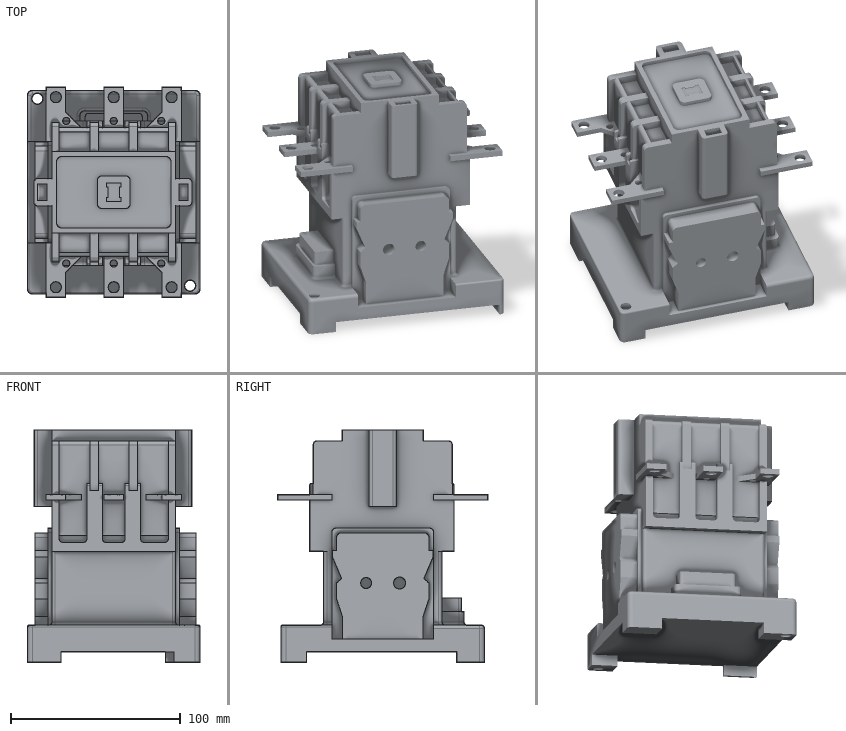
import cadquery as cq
BASE_X, BASE_Y, BASE_TOP = 101.8, 120.0, 22.0
BASE_CORNER_R = 3.0
BASE_FRONT_ROUND, BASE_BACK_ROUND = 1.0, 2.0
SEAT_HALF_Y, SEAT_Z = 30.0, 13.8
FOOT_H = 6.2
FEET_INNER_CORNERS = [(-31.0, -57.0), (-31.0, 43.5), (35.4, -44.8), (30.4, 43.5)]
MOUNT_HOLE_D = 6.4
MOUNT_HOLE_X, MOUNT_HOLE_Y = 45.0, 55.1

BODY_HALF_X, BODY_HALF_Y = 36.5, 35.0
BODY_CORNER_R = 2.0
BODY_FOOT_FILLET = 1.7
REAR_STEPS = [(20.0, 48.0, 30.0, 3.0), (16.8, 46.5, 38.0, 2.0)]

PLATE_OUTER_X, PLATE_TOP, PLATE_CORNER_R = 38.8, 79.2, 2.5
COVER_TOP, COVER_CORNER_R = 76.4, 2.8
COVER_LEFT_X, COVER_RIGHT_X = -46.5, 48.6
COVER_EDGE = [
    (27.2, COVER_TOP), (27.2, 66.0), (29.6, 66.0), (29.6, 62.0), (24.3, 49.5),
    (27.2, 46.8), (27.2, 37.4), (23.8, 27.1), (23.8, SEAT_Z),
]
COVER_HOLES = [(9.9, 7.0), (-9.8, 6.4)]
COVER_HOLE_Z = 46.8

HOUSING_BOTTOM, SHOULDER_TOP, TOTAL_H = 65.5, 130.6, 137.0
UPPER_HALF_Y = 41.0
LOWER_FRONT_Y, LOWER_BACK_Y = 43.1, 42.0
CROWN_HALF_Y = 24.0
CHUTE_HALF_Y = 38.0
CHUTE_WALL = 2.5
CHUTE_FLOOR_Z = 125.8
SHOULDER_ROUND = 2.3
SIDE_WALL_X = 32.2
RIB_INNER_X, RIB_OUTER_X = 9.0, 14.1
RIB_BOTTOM = 101.2
POST_INNER_X, POST_OUTER_X = 6.7, 15.8
POST_TOP, POST_ROUND = 105.5, 1.2
POCKET_FLOOR, POCKET_CORNER_R = 70.7, 2.3
POCKET_UNDERCUT_TOP = 74.7

RECESS_X, RECESS_Y, RECESS_R, RECESS_DEPTH = 67.6, 42.3, 3.5, 2.5
BUTTON_SIZE, BUTTON_R = 19.4, 3.0
MARK_X, MARK_Y, MARK_WEB, MARK_BAR, MARK_DEPTH = 8.6, 10.8, 6.5, 2.3, 0.5

LUG_LEFT_X, LUG_RIGHT_X = -47.0, 46.0
LUG_HALF_Y, LUG_BOTTOM, LUG_R = 8.0, 91.8, 2.0
LUG_SLOT_X, LUG_SLOT_Y, LUG_SLOT_DEPTH = 5.4, 9.6, 10.0
LUG_SLOT_INSET = 2.2

TAB_END_Y, TAB_INNER_Y = 62.0, 30.0
TAB_BOTTOM, TAB_TOP = 95.7, 98.9
TAB_HALF_W = 5.8
TAB_PITCH = 34.1
TAB_ROOT_X = 18.9
TAB_BEND_Y = 47.2
BOLT_HOLE_D, BOLT_HOLE_Y = 6.5, 56.0
SCREW_HOLE_D, SCREW_HOLE_X, SCREW_HOLE_Y = 4.2, 28.0, 42.0


def block(x0, x1, y0, y1, z0, z1):
    """Box between two opposite corners."""
    return cq.Workplane("XY").box(x1 - x0, y1 - y0, z1 - z0, centered=False).translate((x0, y0, z0))


def cylinder(x, y, z0, z1, diameter):
    return cq.Workplane("XY").circle(diameter / 2).extrude(z1 - z0).translate((x, y, z0))


def base_end(side, top_round):
    """Raised end of the base; side is -1 for the front end and +1 for the back end."""
    inner, outer = sorted((side * SEAT_HALF_Y, side * BASE_Y / 2))
    end = block(-BASE_X / 2, BASE_X / 2, inner, outer, FOOT_H, BASE_TOP)
    outward = ">Y" if side > 0 else "<Y"
    inward = "<Y" if side > 0 else ">Y"
    end = end.faces(outward).edges("|Z").fillet(BASE_CORNER_R)
    rim = end.faces(">Z").edges("not " + inward)
    return rim.fillet(top_round)


def feet():
    """Four corner feet of unequal size, kept inside the rounded base outline."""
    outline = block(-BASE_X / 2, BASE_X / 2, -BASE_Y / 2, BASE_Y / 2, 0, FOOT_H)
    outline = outline.edges("|Z").fillet(BASE_CORNER_R)
    pads = cq.Workplane("XY")
    for x, y in FEET_INNER_CORNERS:
        x0, x1 = sorted((x, BASE_X / 2 if x > 0 else -BASE_X / 2))
        y0, y1 = sorted((y, BASE_Y / 2 if y > 0 else -BASE_Y / 2))
        pads = pads.add(block(x0, x1, y0, y1, 0, FOOT_H).intersect(outline))
    return pads.vals()


def base_and_body():
    seat = block(-BASE_X / 2, BASE_X / 2, -SEAT_HALF_Y, SEAT_HALF_Y, FOOT_H, SEAT_Z)
    body = block(-BODY_HALF_X, BODY_HALF_X, -BODY_HALF_Y, BODY_HALF_Y, FOOT_H, HOUSING_BOTTOM)
    body = body.edges("|Z").fillet(BODY_CORNER_R)
    part = base_end(-1, BASE_FRONT_ROUND).union(base_end(1, BASE_BACK_ROUND)).union(seat).union(body)
    for half_x, back_y, top, radius in REAR_STEPS:
        step = block(-half_x, half_x, 0, back_y, FOOT_H, top)
        part = part.union(step.faces(">Y").edges("|Z").fillet(radius))

    reach_x, reach_y = BODY_HALF_X + 1, REAR_STEPS[0][1] + 1
    foot_edges = cq.selectors.BoxSelector(
        (-reach_x, -reach_y, BASE_TOP - 0.1), (reach_x, reach_y, BASE_TOP + 0.1), boundingbox=True
    )
    part = part.edges(foot_edges).fillet(BODY_FOOT_FILLET)

    for foot in feet():
        part = part.union(cq.Workplane(foot))
    for side in (-1, 1):
        part = part.cut(cylinder(side * MOUNT_HOLE_X, -side * MOUNT_HOLE_Y, 0, BASE_TOP, MOUNT_HOLE_D))
    return part


def coil_side(side, cover_x):
    """Flange plate and profiled terminal cover on one X side of the coil body."""
    x0, x1 = sorted((side * (BODY_HALF_X - 1), side * PLATE_OUTER_X))
    plate = block(x0, x1, -SEAT_HALF_Y, SEAT_HALF_Y, SEAT_Z, PLATE_TOP)
    plate = plate.faces(">Z").edges("|X").fillet(PLATE_CORNER_R)

    outline = COVER_EDGE + [(-y, z) for y, z in reversed(COVER_EDGE)]
    start, stop = sorted((side * PLATE_OUTER_X, cover_x))
    cover = cq.Workplane("YZ").polyline(outline).close().extrude(stop - start).translate((start, 0, 0))
    cover = cover.faces(">Z").edges("|X").fillet(COVER_CORNER_R)
    for y, diameter in COVER_HOLES:
        hole = cq.Workplane("YZ").center(y, COVER_HOLE_Z).circle(diameter / 2).extrude(stop - start)
        cover = cover.cut(hole.translate((start, 0, 0)))
    return plate.union(cover)


def housing_end(lower_y):
    """Front half of the contact housing: lower wall with pockets, posts, chute wall and ribs."""
    half_x = BODY_HALF_X
    end = block(-half_x, half_x, -CHUTE_HALF_Y, 0, HOUSING_BOTTOM, SHOULDER_TOP)
    end = end.faces("<Y").edges(">Z").fillet(SHOULDER_ROUND)
    end = end.cut(block(-half_x, half_x, CHUTE_WALL - CHUTE_HALF_Y, -CROWN_HALF_Y, CHUTE_FLOOR_Z, SHOULDER_TOP))

    end = end.union(block(-half_x, half_x, -lower_y, -CHUTE_HALF_Y, HOUSING_BOTTOM, TAB_TOP))
    back_y = CHUTE_WALL - CHUTE_HALF_Y
    for x0, x1 in [
        (-SIDE_WALL_X, -POST_OUTER_X), (-POST_INNER_X, POST_INNER_X), (POST_OUTER_X, SIDE_WALL_X)
    ]:
        pocket = block(x0, x1, -lower_y, back_y, POCKET_FLOOR, TAB_TOP)
        pocket = pocket.faces("<Z").edges("|Y").fillet(POCKET_CORNER_R)
        chute_wall = block(x0, x1, -CHUTE_HALF_Y, back_y, POCKET_UNDERCUT_TOP, TAB_TOP)
        end = end.cut(pocket.cut(chute_wall))

    for side in (-1, 1):
        x0, x1 = sorted((side * POST_INNER_X, side * POST_OUTER_X))
        post = block(x0, x1, -lower_y, -CHUTE_HALF_Y, POCKET_FLOOR, POST_TOP)
        post = post.faces("<Y").edges(">Z").fillet(POST_ROUND)
        x2, x3 = sorted((side * RIB_INNER_X, side * RIB_OUTER_X))
        post = post.cut(block(x2, x3, -lower_y, -CHUTE_HALF_Y, RIB_BOTTOM, POST_TOP))
        end = end.union(post)
        x4, x5 = sorted((side * SIDE_WALL_X, side * half_x))
        for left, right, bottom in [(x2, x3, RIB_BOTTOM), (x4, x5, HOUSING_BOTTOM)]:
            rib = block(left, right, -UPPER_HALF_Y, -CROWN_HALF_Y, bottom, SHOULDER_TOP)
            end = end.union(rib.faces("<Y").edges(">Z").fillet(SHOULDER_ROUND))
    return end


def crown():
    """Raised middle of the housing with its label recess and push button."""
    top = block(-BODY_HALF_X, BODY_HALF_X, -CROWN_HALF_Y, CROWN_HALF_Y, HOUSING_BOTTOM, TOTAL_H)
    floor_z = TOTAL_H - RECESS_DEPTH
    recess = block(-RECESS_X / 2, RECESS_X / 2, -RECESS_Y / 2, RECESS_Y / 2, floor_z, TOTAL_H)
    half = BUTTON_SIZE / 2
    button = block(-half, half, -half, half, floor_z, TOTAL_H).edges("|Z").fillet(BUTTON_R)
    mark_z = TOTAL_H - MARK_DEPTH
    button = button.cut(block(-MARK_WEB / 2, MARK_WEB / 2, -MARK_Y / 2, MARK_Y / 2, mark_z, TOTAL_H))
    for y0 in (-MARK_Y / 2, MARK_Y / 2 - MARK_BAR):
        button = button.cut(block(-MARK_X / 2, MARK_X / 2, y0, y0 + MARK_BAR, mark_z, TOTAL_H))
    return top.cut(recess.edges("|Z").fillet(RECESS_R)).union(button)


def lug(side, outer_x):
    """Slotted lug on one side of the housing."""
    x0, x1 = sorted((side * BODY_HALF_X, outer_x))
    body = block(x0, x1, -LUG_HALF_Y, LUG_HALF_Y, LUG_BOTTOM, TOTAL_H)
    body = body.edges("|Z").edges(">X" if side > 0 else "<X").fillet(LUG_R)
    s0, s1 = sorted((outer_x - side * LUG_SLOT_INSET, outer_x - side * (LUG_SLOT_INSET + LUG_SLOT_X)))
    slot = block(s0, s1, -LUG_SLOT_Y / 2, LUG_SLOT_Y / 2, TOTAL_H - LUG_SLOT_DEPTH, TOTAL_H)
    return body.cut(slot)


def centre_tab():
    tab = block(-TAB_HALF_W, TAB_HALF_W, -TAB_END_Y, -TAB_INNER_Y, TAB_BOTTOM, TAB_TOP)
    tab = tab.cut(cylinder(0, -BOLT_HOLE_Y, TAB_BOTTOM, TAB_TOP, BOLT_HOLE_D))
    return tab.cut(cylinder(0, -SCREW_HOLE_Y, TAB_BOTTOM, TAB_TOP, SCREW_HOLE_D))


def outer_tab():
    """Front terminal on the +X side, widened towards the middle at its root."""
    inner_x, outer_x = TAB_PITCH - TAB_HALF_W, TAB_PITCH + TAB_HALF_W
    widened_y = TAB_BEND_Y - (inner_x - TAB_ROOT_X)
    outline = [
        (outer_x, -TAB_END_Y), (outer_x, -TAB_INNER_Y), (TAB_ROOT_X, -TAB_INNER_Y),
        (TAB_ROOT_X, -widened_y), (inner_x, -TAB_BEND_Y), (inner_x, -TAB_END_Y),
    ]
    tab = cq.Workplane("XY").polyline(outline).close().extrude(TAB_TOP - TAB_BOTTOM)
    tab = tab.translate((0, 0, TAB_BOTTOM))
    tab = tab.cut(cylinder(TAB_PITCH, -BOLT_HOLE_Y, TAB_BOTTOM, TAB_TOP, BOLT_HOLE_D))
    return tab.cut(cylinder(SCREW_HOLE_X, -SCREW_HOLE_Y, TAB_BOTTOM, TAB_TOP, SCREW_HOLE_D))


def terminals():
    """The three front terminals."""
    right = outer_tab()
    return [centre_tab(), right, right.mirror("YZ")]


result = base_and_body()
result = result.union(coil_side(-1, COVER_LEFT_X)).union(coil_side(1, COVER_RIGHT_X))
result = result.union(housing_end(LOWER_FRONT_Y)).union(housing_end(LOWER_BACK_Y).mirror("XZ"))
result = result.union(crown())
result = result.union(lug(-1, LUG_LEFT_X)).union(lug(1, LUG_RIGHT_X))
for terminal in terminals():
    result = result.union(terminal).union(terminal.mirror("XZ"))